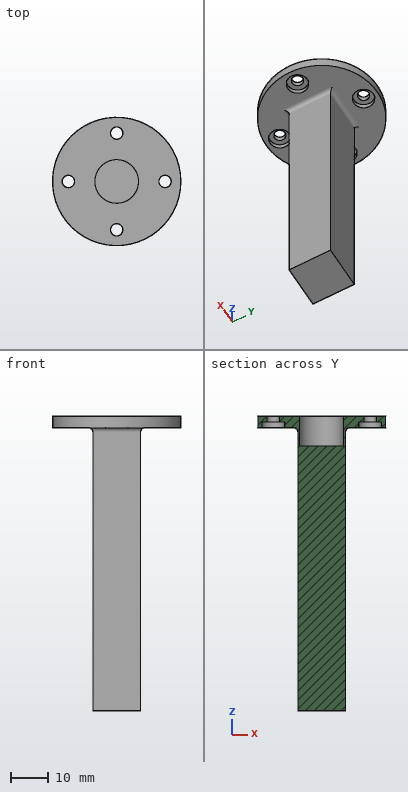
import cadquery as cq

total_length = 79.4
flange_diameter = 34.6
flange_thickness = 3.2

post_side = 12.85
fillet_radius = 1.2

bore_diameter = 11.75
bore_depth = 8.0
bolt_hole_diameter = 3.25
bolt_circle_radius = 13.0
counterbore_diameter = 6.0
counterbore_depth = 1.5
bolt_hole_count = 4

post_length = total_length - flange_thickness


def make_post():
    """Square post standing on Z = 0."""
    return cq.Workplane("XY").rect(post_side, post_side).extrude(post_length)


def make_flange():
    """Round plate on top of the post."""
    return (
        cq.Workplane("XY")
        .workplane(offset=post_length)
        .circle(flange_diameter / 2)
        .extrude(flange_thickness)
    )


def fillet_joint(body):
    """Round the square joint between the post and the flange underside."""
    joint = cq.selectors.BoxSelector(
        (-post_side, -post_side, post_length - fillet_radius),
        (post_side, post_side, post_length + fillet_radius),
    )
    return body.edges(joint).edges("|X or |Y").fillet(fillet_radius)


def cut_bore(body):
    """Blind central bore, open at the top face."""
    return body.faces(">Z").workplane().hole(bore_diameter, bore_depth)


def make_bolt_hole():
    """Through hole for one bolt, widened by a counterbore in the flange underside."""
    shank = cq.Workplane("XY").circle(bolt_hole_diameter / 2).extrude(flange_thickness)
    counterbore = cq.Workplane("XY").circle(counterbore_diameter / 2).extrude(counterbore_depth)
    return shank.union(counterbore)


def cut_bolt_holes(body):
    """Ring of evenly spaced bolt holes through the flange."""
    bolt_hole = make_bolt_hole().translate((bolt_circle_radius, 0, post_length))
    for index in range(bolt_hole_count):
        angle = index * 360 / bolt_hole_count
        body = body.cut(bolt_hole.rotate((0, 0, 0), (0, 0, 1), angle))
    return body


result = cut_bolt_holes(cut_bore(fillet_joint(make_post().union(make_flange()))))